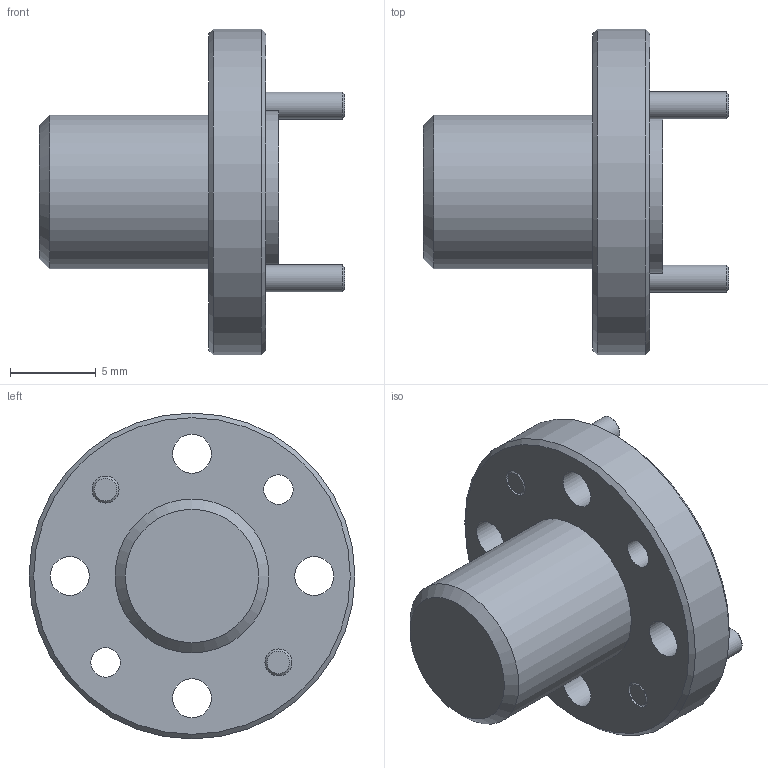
import cadquery as cq
import math


flange_diameter = 19.05
flange_thickness = 3.34
flange_chamfer = 0.27

boss_diameter = 9.0
boss_length = 9.9
boss_chamfer = 0.6

land_diameter = 9.525
land_height = 0.76

pattern_diameter = 14.29
screw_hole_diameter = 2.28
screw_hole_angles = (0, 90, 180, 270)
dowel_hole_diameter = 1.72
dowel_hole_angles = (135, 315)

pin_diameter = 1.57
pin_projection = 4.60
pin_chamfer = 0.13
pin_angles = (45, 225)

flange_back = -flange_thickness


def cylinder(diameter, start, length, centre=(0, 0)):
    """Cylinder along +X from X = start, centred on the (Y, Z) point given."""
    return (
        cq.Workplane("YZ", origin=(start, 0, 0))
        .center(*centre)
        .circle(diameter / 2)
        .extrude(length)
    )


def pattern_point(angle):
    """(Y, Z) point on the pattern circle, with the angle in degrees from +Y towards +Z."""
    radius = pattern_diameter / 2
    return (radius * math.cos(math.radians(angle)), radius * math.sin(math.radians(angle)))


def drill(body, diameter, angles):
    """Cut through holes in the flange at the given angles."""
    for angle in angles:
        body = body.cut(cylinder(diameter, flange_back, flange_thickness, pattern_point(angle)))
    return body


def make_flange():
    disc = cylinder(flange_diameter, flange_back, flange_thickness).edges().chamfer(flange_chamfer)
    boss = cylinder(boss_diameter, flange_back - boss_length, boss_length).faces("<X").chamfer(boss_chamfer)
    land = cylinder(land_diameter, 0, land_height)
    body = disc.union(boss).union(land)
    body = drill(body, screw_hole_diameter, screw_hole_angles)
    body = drill(body, dowel_hole_diameter, dowel_hole_angles)
    return drill(body, pin_diameter, pin_angles)


def make_pin(angle):
    pin = cylinder(pin_diameter, flange_back, flange_thickness + pin_projection, pattern_point(angle))
    return pin.faces("<X or >X").chamfer(pin_chamfer)


flange = make_flange()
pins = [make_pin(angle) for angle in pin_angles]

result = cq.Compound.makeCompound([flange.val(), *[pin.val() for pin in pins]])